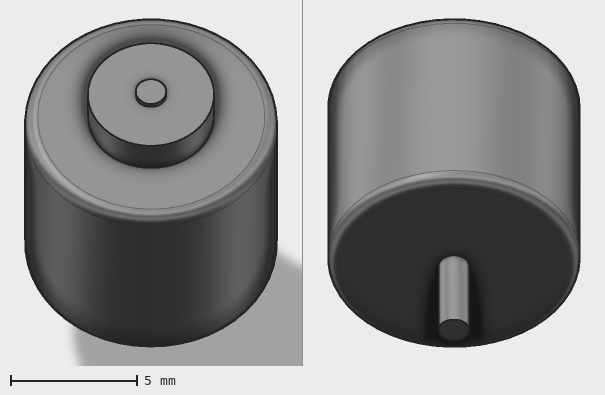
import cadquery as cq

total_height = 14.2
can_diameter = 10.0
can_height = 9.0
can_edge_radius = 0.5
boss_diameter = can_diameter / 2
boss_height = 1.5
shaft_diameter = 1.2
shaft_tip_height = 0.2

boss_top = total_height - shaft_tip_height
can_top = boss_top - boss_height
can_bottom = can_top - can_height


def cylinder(diameter, bottom, top):
    """Cylinder on the Z axis between two levels."""
    return cq.Workplane("XY").workplane(offset=bottom).circle(diameter / 2).extrude(top - bottom)


can = cylinder(can_diameter, can_bottom, can_top).edges("%CIRCLE").fillet(can_edge_radius)
boss = cylinder(boss_diameter, can_top, boss_top)

shaft = cylinder(shaft_diameter, 0, total_height)

result = can.union(boss).union(shaft)